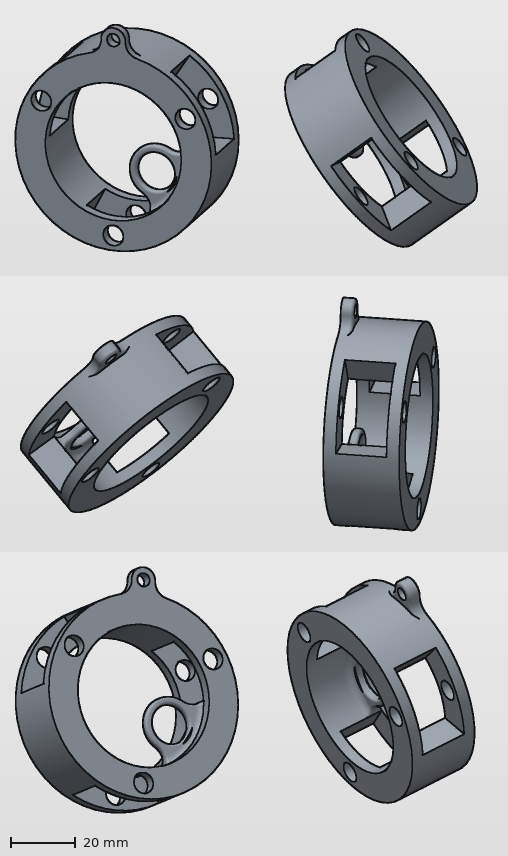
import cadquery as cq
import math

ring_radius = 32.5
bore_radius = 45.0 / 2
ring_width = 24.0
flange_thickness = 4.0
window_width = ring_width - 2 * flange_thickness

station_angles = (30, 150, 270)
window_half_angle = 27
wall_half_angle = 180 / len(station_angles) - window_half_angle
bolt_circle_radius = 27.5
bolt_hole_diameter = 6.6

overall_height = 73.2
tab_radius = 4.0
tab_thickness = flange_thickness
tab_hole_diameter = 4.2
tab_fillet_radius = 5.0
tab_height = overall_height - ring_radius - tab_radius

eyelet_angle = -30
eyelet_distance = 13.75
eyelet_radius = 17.5 / 2
eyelet_hole_radius = 12.5 / 2
eyelet_thickness = 3.0
neck_radius = 6.0
flare_radius = 2.5
front_flare_height = 1.0
wall_overlap = 2.2
edge_round = 0.95
eyelet_front = flange_thickness + front_flare_height
eyelet_back = eyelet_front + eyelet_thickness


def polar(radius, angle):
    """Point at a radius and an angle in degrees."""
    return radius * math.cos(math.radians(angle)), radius * math.sin(math.radians(angle))


def circle_crossing(center_a, radius_a, center_b, radius_b):
    """Crossing of two circles that lies to the left of the line from a to b."""
    dx = center_b[0] - center_a[0]
    dy = center_b[1] - center_a[1]
    gap = math.hypot(dx, dy)
    along = (radius_a**2 - radius_b**2 + gap**2) / (2 * gap)
    across = math.sqrt(radius_a**2 - along**2)
    return (
        center_a[0] + (along * dx - across * dy) / gap,
        center_a[1] + (along * dy + across * dx) / gap,
    )


def toward(start, target, distance):
    """Point at a distance from start in the direction of target."""
    scale = distance / math.dist(start, target)
    return tuple(a + scale * (b - a) for a, b in zip(start, target))


def midpoint(a, b):
    """Point halfway between two points."""
    return (a[0] + b[0]) / 2, (a[1] + b[1]) / 2


def flip_sideways(point):
    """Point mirrored left to right."""
    return -point[0], point[1]


def flip_upright(point):
    """Point mirrored top to bottom."""
    return point[0], -point[1]


def plane_at(depth):
    """Drawing plane facing -Y, at a depth behind the front face."""
    return cq.Workplane("XZ", origin=(0, depth, 0))


def cylinder(radius, length, center=(0, 0)):
    """Cylinder that runs from the front face toward +Y."""
    return plane_at(0).center(*center).circle(radius).extrude(-length)


def make_window(angle):
    """Sector between the flanges, with radial end walls."""
    reach = 2 * ring_radius
    sector = (
        plane_at(flange_thickness)
        .lineTo(*polar(reach, angle - window_half_angle))
        .lineTo(*polar(reach, angle + window_half_angle))
        .close()
        .extrude(-window_width)
    )
    return sector.cut(cylinder(bore_radius, ring_width))


def make_tab():
    """Round tab blended into the ring by two concave arcs, with a rounded back edge."""
    tip_center = (0, tab_height)
    blend = circle_crossing(
        tip_center, tab_radius + tab_fillet_radius, (0, 0), ring_radius + tab_fillet_radius
    )
    tip_end = toward(tip_center, blend, tab_radius)
    ring_end = toward((0, 0), blend, ring_radius)
    blend_middle = toward(blend, midpoint(tip_end, ring_end), tab_fillet_radius)
    root = toward((0, 0), blend, ring_radius - wall_overlap)

    tab = (
        plane_at(0)
        .moveTo(*flip_sideways(root))
        .lineTo(*flip_sideways(ring_end))
        .threePointArc(flip_sideways(blend_middle), flip_sideways(tip_end))
        .threePointArc((0, tab_height + tab_radius), tip_end)
        .threePointArc(blend_middle, ring_end)
        .lineTo(*root)
        .close()
        .extrude(-tab_thickness)
    )
    rounded_zone = cq.selectors.BoxSelector(
        (-ring_radius, 0, bore_radius), (ring_radius, ring_width, overall_height)
    )
    back_edges = tab.faces(">Y").edges("%CIRCLE").edges(rounded_zone)
    return back_edges.fillet(edge_round)


def make_eyelet_outline():
    """Eyelet disc whose two concave necks end at the window corners of the bore."""
    center = (eyelet_distance, 0)
    corner = polar(bore_radius, wall_half_angle)
    neck = circle_crossing(center, eyelet_radius + neck_radius, corner, neck_radius)
    disc_end = toward(center, neck, eyelet_radius)
    neck_middle = toward(neck, midpoint(disc_end, corner), neck_radius)
    root = polar(bore_radius + wall_overlap, wall_half_angle)
    return (
        plane_at(0)
        .moveTo(*root)
        .lineTo(*corner)
        .threePointArc(neck_middle, disc_end)
        .threePointArc((eyelet_distance - eyelet_radius, 0), flip_upright(disc_end))
        .threePointArc(flip_upright(neck_middle), flip_upright(corner))
        .lineTo(*flip_upright(root))
        .threePointArc((bore_radius + wall_overlap, 0), root)
        .close()
        .extrude(-ring_width)
    )


def make_flared_disc():
    """Disc about the ring axis that thickens in concave arcs where it meets the bore."""
    outside = bore_radius + wall_overlap
    front_sweep = math.acos(1 - front_flare_height / flare_radius)
    front_start = bore_radius - flare_radius * math.sin(front_sweep)
    front_middle = (
        front_start + flare_radius * math.sin(front_sweep / 2),
        eyelet_front - flare_radius * (1 - math.cos(front_sweep / 2)),
    )
    back_start = bore_radius - flare_radius
    back_end = eyelet_back + flare_radius
    sag = flare_radius * math.sqrt(0.5)
    return (
        cq.Workplane("XY")
        .moveTo(0, eyelet_front)
        .lineTo(front_start, eyelet_front)
        .threePointArc(front_middle, (bore_radius, flange_thickness))
        .lineTo(outside, flange_thickness)
        .lineTo(outside, back_end)
        .lineTo(bore_radius, back_end)
        .threePointArc((back_start + sag, back_end - sag), (back_start, eyelet_back))
        .lineTo(0, eyelet_back)
        .close()
        .revolve(360, (0, 0, 0), (0, 1, 0))
    )


def make_eyelet_hole():
    """Round hole whose two rims are rounded."""
    wide = eyelet_hole_radius + edge_round
    sag = edge_round * (1 - math.sqrt(0.5))
    profile = (
        cq.Workplane("XY")
        .moveTo(0, eyelet_front)
        .lineTo(wide, eyelet_front)
        .threePointArc(
            (eyelet_hole_radius + sag, eyelet_front + sag),
            (eyelet_hole_radius, eyelet_front + edge_round),
        )
        .lineTo(eyelet_hole_radius, eyelet_back - edge_round)
        .threePointArc((eyelet_hole_radius + sag, eyelet_back - sag), (wide, eyelet_back))
        .lineTo(0, eyelet_back)
        .close()
        .revolve(360, (0, 0, 0), (0, 1, 0))
        .translate((eyelet_distance, 0, 0))
    )
    return profile.union(cylinder(eyelet_hole_radius, ring_width, (eyelet_distance, 0)))


def make_eyelet():
    """Rounded eyelet, turned to its place on the bore wall."""
    body = make_eyelet_outline().intersect(make_flared_disc())
    outline_zone = cq.selectors.BoxSelector(
        (0, 0, -bore_radius), (bore_radius - edge_round, ring_width, bore_radius)
    )
    outline_faces = body.faces("%CYLINDER").faces(outline_zone)
    body = outline_faces.edges("not(|Y)").fillet(edge_round)
    body = body.cut(make_eyelet_hole())
    return body.rotate((0, 0, 0), (0, 1, 0), -eyelet_angle)


result = cylinder(ring_radius, ring_width).cut(cylinder(bore_radius, ring_width))
for station in station_angles:
    result = result.cut(make_window(station))
    bolt_center = polar(bolt_circle_radius, station)
    result = result.cut(cylinder(bolt_hole_diameter / 2, ring_width, bolt_center))

result = result.union(make_tab())
result = result.cut(cylinder(tab_hole_diameter / 2, tab_thickness, (0, tab_height)))
result = result.union(make_eyelet())